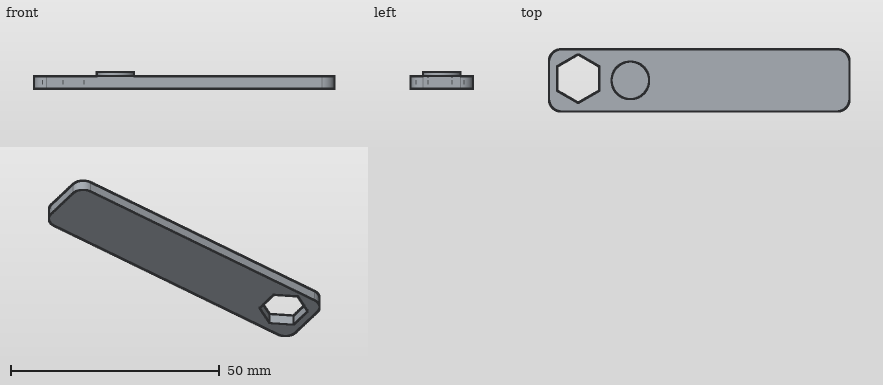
import cadquery as cq
import math

plate_length = 72
plate_width = 15.0
total_height = 4.0
plate_thickness = 3.0
corner_radius = 3.0

hex_across_flats = 10.0
hex_left_wall = 2.0
hex_center_x = -plate_length / 2 + hex_left_wall + hex_across_flats / 2
hex_center_y = 0.4
hex_across_corners = hex_across_flats / math.cos(math.pi / 6)

badge_diameter = 9.0
badge_height = total_height - plate_thickness
badge_center_x = -16.5


def make_plate():
    plate = cq.Workplane("XY").box(
        plate_length, plate_width, plate_thickness, centered=(True, True, False)
    )
    return plate.edges("|Z").fillet(corner_radius)


def make_hex_hole():
    return (
        cq.Workplane("XY")
        .center(hex_center_x, hex_center_y)
        .transformed(rotate=(0, 0, 90))
        .polygon(6, hex_across_corners)
        .extrude(plate_thickness)
    )


def make_badge():
    return (
        cq.Workplane("XY")
        .workplane(offset=plate_thickness)
        .center(badge_center_x, 0)
        .circle(badge_diameter / 2)
        .extrude(badge_height)
    )


result = make_plate().cut(make_hex_hole()).union(make_badge())